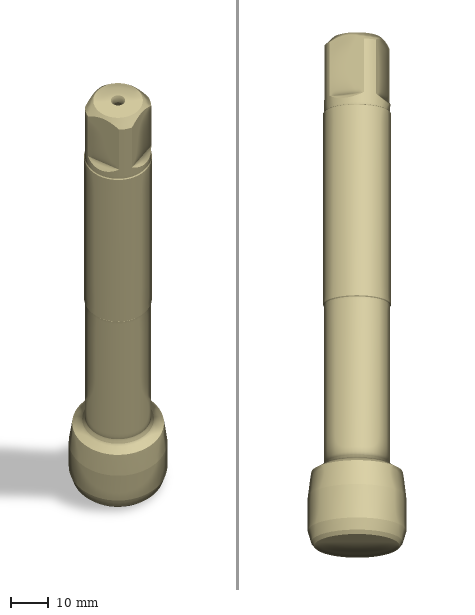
import cadquery as cq
import math

total_height = 140.0
stem_diameter = 17.6
stem_radius = stem_diameter / 2

head_radius = 26.2 / 2
base_radius = 11.3
lower_cone_start_radius = 12.2
lower_cone_start = 1.0
head_straight_start = 4.0
head_straight_end = 13.3
shoulder_start = 20.2
shoulder_start_radius = 12.2
collar_start = 21.7
collar_start_radius = 9.5
collar_end = 22.7
flank_bulge = 0.07

across_flats = 14.7
square_bottom = 122.9
runout_slope = 45
tip_diameter = 13.2
tip_chamfer = (stem_diameter - tip_diameter) / 2

center_hole_diameter = 2.0
countersink_diameter = 3.8
countersink_angle = 60
center_hole_depth = 4.2
drill_point_angle = 118

sleeve_diameter = 18.0
groove_diameter = 17.2
sleeve_bottom = 66.4
sleeve_top = 119.5
sleeve_chamfer = 0.3


def cone_height(diameter, included_angle):
    """Axial height of a cone with the given base diameter."""
    return diameter / 2 / math.tan(math.radians(included_angle / 2))


def make_blank():
    """Revolve the head, the stem and the chamfered tip."""
    flank_middle = (
        (shoulder_start_radius + head_radius) / 2 + flank_bulge,
        (shoulder_start + head_straight_end) / 2,
    )
    return (
        cq.Workplane("XZ")
        .lineTo(base_radius, 0)
        .lineTo(lower_cone_start_radius, lower_cone_start)
        .lineTo(head_radius, head_straight_start)
        .lineTo(head_radius, head_straight_end)
        .threePointArc(flank_middle, (shoulder_start_radius, shoulder_start))
        .lineTo(collar_start_radius, collar_start)
        .lineTo(stem_radius, collar_end)
        .lineTo(stem_radius, total_height - tip_chamfer)
        .lineTo(tip_diameter / 2, total_height)
        .lineTo(0, total_height)
        .close()
        .revolve(360, (0, 0, 0), (0, 1, 0))
    )


def make_flat_cutter():
    """Cutter for one drive flat on +X, with a sloped run-out at its bottom."""
    flat = across_flats / 2
    runout_width = 2 * (stem_radius - flat)
    runout_drop = runout_width * math.tan(math.radians(runout_slope))
    return (
        cq.Workplane("XZ")
        .moveTo(flat, total_height)
        .lineTo(flat, square_bottom)
        .lineTo(flat + runout_width, square_bottom - runout_drop)
        .lineTo(flat + runout_width, total_height)
        .close()
        .extrude(stem_radius, both=True)
    )


def make_groove():
    """Ring removed from the stem to seat the sleeve."""
    length = sleeve_top - sleeve_bottom
    return (
        cq.Workplane("XY", origin=(0, 0, sleeve_bottom))
        .circle(stem_radius)
        .circle(groove_diameter / 2)
        .extrude(length)
    )


def make_center_hole():
    """Countersunk centre hole with a drill point."""
    hole_radius = center_hole_diameter / 2
    countersink_depth = cone_height(countersink_diameter - center_hole_diameter, countersink_angle)
    hole_bottom = total_height - center_hole_depth
    point_height = cone_height(center_hole_diameter, drill_point_angle)
    return (
        cq.Workplane("XZ")
        .moveTo(0, total_height)
        .lineTo(countersink_diameter / 2, total_height)
        .lineTo(hole_radius, total_height - countersink_depth)
        .lineTo(hole_radius, hole_bottom)
        .lineTo(0, hole_bottom - point_height)
        .close()
        .revolve(360, (0, 0, 0), (0, 1, 0))
    )


def make_shaft():
    shaft = make_blank().cut(make_groove()).cut(make_center_hole())
    flat_cutter = make_flat_cutter()
    for angle in (0, 90, 180, 270):
        shaft = shaft.cut(flat_cutter.rotate((0, 0, 0), (0, 0, 1), angle))
    return shaft


def make_sleeve():
    return (
        cq.Workplane("XY", origin=(0, 0, sleeve_bottom))
        .circle(sleeve_diameter / 2)
        .circle(groove_diameter / 2)
        .extrude(sleeve_top - sleeve_bottom)
        .edges(cq.selectors.RadiusNthSelector(-1))
        .chamfer(sleeve_chamfer)
    )


shaft = make_shaft()
sleeve = make_sleeve()
result = cq.Compound.makeCompound([shaft.val(), sleeve.val()])